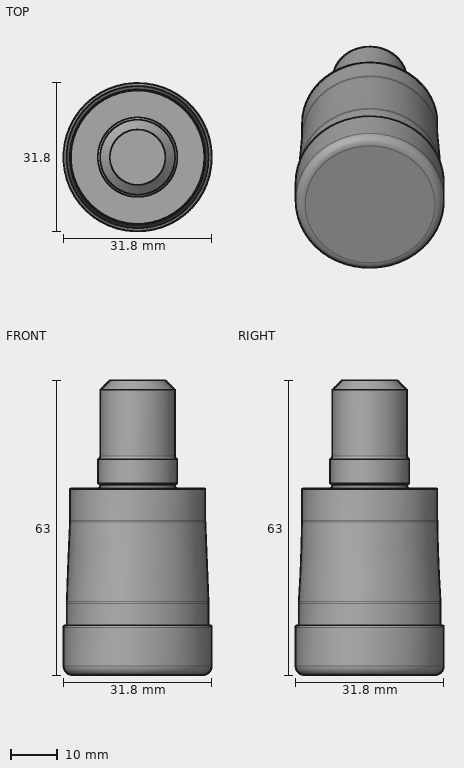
import cadquery as cq
import math

total_height = 63.0
cap_diameter = 31.75

cap_height = 10.65
cap_top_fillet = 0.4
cap_bottom_fillet = 2.0

housing_lower_radius = 15.2
housing_upper_radius = 14.5
housing_top = 39.95
housing_top_chamfer = 0.25
taper_bottom = 15.55
taper_top = 32.95
taper_blend_length = 0.4

collar_radius = 8.5
collar_bottom = 41.0
collar_top = 46.1
collar_top_flare = 0.75
shank_radius = 8.0
shank_chamfer = 2.1
collar_underside_height = 0.4
neck_fillet = 0.5


def make_cap():
    """Round disc with a rounded bottom rim and a lightly rounded top rim."""
    disc = cq.Workplane("XY").circle(cap_diameter / 2).extrude(cap_height)
    rounded = disc.faces("<Z").edges().fillet(cap_bottom_fillet)
    return rounded.faces(">Z").edges().fillet(cap_top_fillet)


def make_housing():
    """Turned housing and stud in one piece, standing on the cap."""
    neck_radius = collar_radius - neck_fillet
    neck_top = collar_bottom - collar_underside_height

    collar_step = collar_radius - shank_radius
    flare_radius = (collar_step**2 + collar_top_flare**2) / (2 * collar_step)

    taper_angle = math.atan2(housing_lower_radius - housing_upper_radius, taper_top - taper_bottom)
    blend_reach = taper_blend_length / 2
    blend_inset = blend_reach * math.sin(taper_angle)
    blend_rise = blend_reach * math.cos(taper_angle)

    profile = (
        cq.Workplane("XZ")
        .moveTo(0, cap_height)
        .lineTo(housing_lower_radius, cap_height)
        .lineTo(housing_lower_radius, taper_bottom - blend_reach)
        .tangentArcPoint((housing_lower_radius - blend_inset, taper_bottom + blend_rise), relative=False)
        .lineTo(housing_upper_radius + blend_inset, taper_top - blend_rise)
        .tangentArcPoint((housing_upper_radius, taper_top + blend_reach), relative=False)
        .lineTo(housing_upper_radius, housing_top - housing_top_chamfer)
        .lineTo(housing_upper_radius - housing_top_chamfer, housing_top)
        .lineTo(collar_radius, housing_top)
        .radiusArc((neck_radius, housing_top + neck_fillet), neck_fillet)
        .lineTo(neck_radius, neck_top)
        .lineTo(collar_radius, collar_bottom)
        .lineTo(collar_radius, collar_top)
        .radiusArc((shank_radius, collar_top + collar_top_flare), flare_radius)
        .lineTo(shank_radius, total_height - shank_chamfer)
        .lineTo(shank_radius - shank_chamfer, total_height)
        .lineTo(0, total_height)
        .close()
    )
    return profile.revolve(360, (0, 0, 0), (0, 1, 0))


cap = make_cap()
housing = make_housing()

result = cq.Compound.makeCompound([cap.val(), housing.val()])